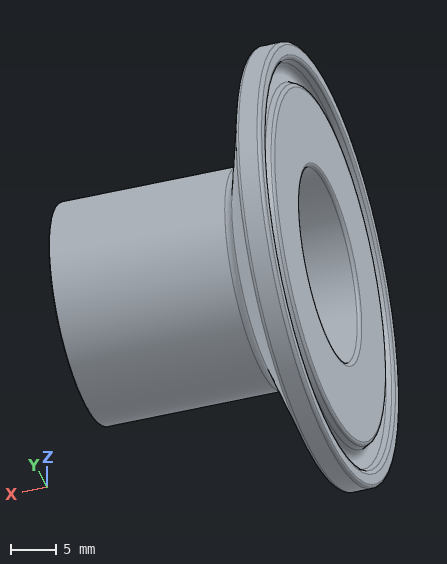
import cadquery as cq
import math

length = 28.55
flange_radius = 50.4 / 2
tube_radius = 25.4 / 2
bore_radius = 22.1 / 2

rim_thickness = 2.8
cone_angle = math.radians(20)
rim_fillet = 0.4
neck_fillet = 1.1
neck_x = rim_thickness + (flange_radius - tube_radius) * math.tan(cone_angle)

groove_center_radius = 21.8
groove_depth = 1.55
groove_arc_radius = 1.2
groove_wall_angle = math.radians(25)
groove_edge_fillet = 0.5
groove_tangent_offset = groove_arc_radius * math.cos(groove_wall_angle)
groove_tangent_x = groove_depth - groove_arc_radius * (1 - math.sin(groove_wall_angle))
groove_mouth_offset = groove_tangent_offset + groove_tangent_x * math.tan(groove_wall_angle)

bore_fillet = 0.4
tube_end_chamfer = 0.1


def revolve_about_x(profile):
    """Full turn of a closed profile about the X axis."""
    return profile.revolve(360, (0, 0, 0), (1, 0, 0))


def select_circle(body, radius, x):
    """The circular edge of the body with the given radius and X position."""
    tolerance = 0.005
    matches = [
        edge
        for edge in body.edges("%CIRCLE").vals()
        if abs(edge.radius() - radius) < tolerance and abs(edge.Center().x - x) < tolerance
    ]
    return body.newObject(matches)


def make_body():
    """Flange with a conical back, tube and through bore, all edges sharp."""
    profile = (
        cq.Workplane("XY")
        .moveTo(0, bore_radius)
        .lineTo(0, flange_radius)
        .lineTo(rim_thickness, flange_radius)
        .lineTo(neck_x, tube_radius)
        .lineTo(length, tube_radius)
        .lineTo(length, bore_radius)
        .close()
    )
    return revolve_about_x(profile)


def make_groove():
    """Ring with a round bottom and straight walls flaring out to the face."""
    profile = (
        cq.Workplane("XY")
        .moveTo(0, groove_center_radius - groove_mouth_offset)
        .lineTo(groove_tangent_x, groove_center_radius - groove_tangent_offset)
        .threePointArc(
            (groove_depth, groove_center_radius),
            (groove_tangent_x, groove_center_radius + groove_tangent_offset),
        )
        .lineTo(0, groove_center_radius + groove_mouth_offset)
        .close()
    )
    return revolve_about_x(profile)


def finish_edges(body):
    """Round the rim, neck, groove mouth and bore entry, and break the tube end."""
    rounds = [
        (tube_radius, neck_x, neck_fillet),
        (flange_radius, 0, rim_fillet),
        (flange_radius, rim_thickness, rim_fillet),
        (groove_center_radius - groove_mouth_offset, 0, groove_edge_fillet),
        (groove_center_radius + groove_mouth_offset, 0, groove_edge_fillet),
        (bore_radius, 0, bore_fillet),
    ]
    for radius, x, fillet_radius in rounds:
        body = select_circle(body, radius, x).fillet(fillet_radius)
    return select_circle(body, tube_radius, length).chamfer(tube_end_chamfer)


result = finish_edges(make_body().cut(make_groove()))